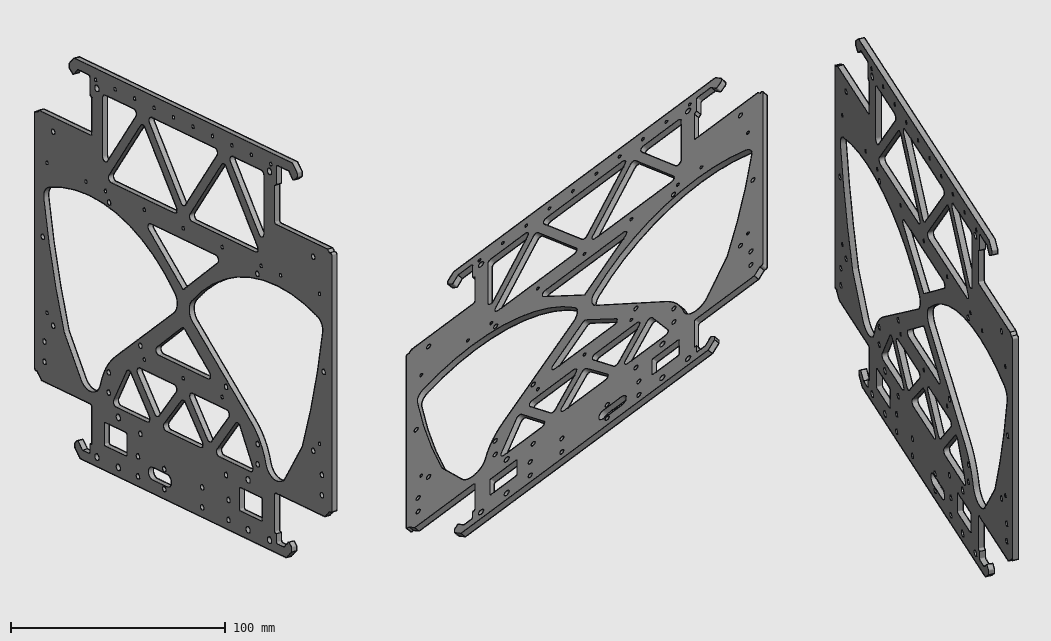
import cadquery as cq
import math

thickness = 3.0
half_width = 114.6
half_height = 99.5

neck_x = 70.5
pad_x = 72.0
wing_top = 64.9
wing_bottom = -69.7
top_wing_step = 1.4
bottom_wing_step = 3.6
wing_tip_flat = 1.9
wing_fillet = 1.0
hook_fillet = 1.0
small_fillet = 0.8

upper_truss_top = 88.4
upper_truss_bottom = 46.1
upper_triangle_height = 37.8
upper_triangle_slope = 4 / 3
upper_window_side = 62.1
upper_rib_width = 6.25
upper_triangle_overlap = 2 * upper_triangle_height - (upper_truss_top - upper_truss_bottom)
upper_triangle_pitch = upper_triangle_overlap / upper_triangle_slope + upper_rib_width

brace_slope = 0.817
brace_upper_top = 35.0
brace_upper_apex = 9.9
brace_lower_apex = -8.7
brace_lower_bottom = -28.8

lower_truss_top = -39.8
lower_truss_bottom = -65.0
lower_truss_slope = 1.18
lower_inverted_slope = 1.22
lower_center_apex = -44.4
lower_inverted_apex = -61.1
lower_inverted_x = 20.25
lower_outer_inner_x = 23.5
lower_outer_outer_x = 55.2
lower_outer_apex = (42.2, -42.1)

window_fillet = 2.0

opening_arc_center = (72.0, -55.6)
opening_arc_radius = 90.0
opening_inner_x = 1.6
opening_outer_x = 108.1
opening_inner_fillet = 7.0
opening_outer_fillet = 6.0

rect_center = (52.1, -81.25)
rect_size = (17.4, 11.7)
rect_fillet = 0.8

slot_center = (-18.0, -89.55)
slot_length = 17.6
slot_width = 6.3

pin_pitch = 15.0
pin_hole = 1.7
screw_hole = 2.6
clearance_hole = 3.2


def prism(outline):
    """Extrude an XZ outline symmetrically through the plate thickness."""
    return outline.close().extrude(thickness / 2, both=True)


def sketch():
    """Empty workplane with X to the right and Z up."""
    return cq.Workplane("XZ")


def mirrored(solid):
    """The solid together with its mirror image about X = 0."""
    return solid.union(solid.mirror("YZ"))


def window(points):
    """Cutter with straight sides and rounded corners."""
    return prism(sketch().polyline(points)).edges("|Y").fillet(window_fillet)


def triangle(center_x, base_z, apex_z, slope):
    """Corners of an isosceles triangle with a horizontal base."""
    half_base = abs(apex_z - base_z) / slope
    return [(center_x - half_base, base_z), (center_x + half_base, base_z), (center_x, apex_z)]


def fillet_corner(solid, corner, radius):
    """Round the through-thickness edge standing at an XZ corner."""
    x, z = corner
    return solid.edges("|Y").edges(cq.NearestToPointSelector((x, 0, z))).fillet(radius)


def make_plate():
    top_bend = (84.2, half_height)
    top_hook_outer = (87.9, 95.7)
    top_hook_side = (87.9, 93.3)
    top_hook_tip = (84.7, 90.9)
    top_hook_root = (pad_x, 94.6)
    top_neck = (neck_x, wing_top)
    top_wing = (half_width, wing_top - top_wing_step)
    bottom_wing = (half_width, wing_bottom + bottom_wing_step)
    bottom_neck = (neck_x, wing_bottom)
    bottom_pad = (neck_x, -89.8)
    bottom_hook_root = (pad_x, -94.7)
    bottom_hook_tip = (81.3, -90.8)
    bottom_hook_side = (83.6, -92.9)

    step_x = half_width - wing_tip_flat
    half_outline = [
        (0, half_height),
        top_bend,
        top_hook_outer,
        top_hook_side,
        top_hook_tip,
        (81.3, 94.6),
        top_hook_root,
        (pad_x, 85.0),
        (neck_x, 84.0),
        top_neck,
        (step_x - top_wing_step, wing_top),
        (step_x, wing_top - top_wing_step),
        top_wing,
        bottom_wing,
        (step_x, wing_bottom + bottom_wing_step),
        (step_x - bottom_wing_step, wing_bottom),
        bottom_neck,
        bottom_pad,
        (pad_x, bottom_pad[1]),
        bottom_hook_root,
        (77.6, bottom_hook_root[1]),
        bottom_hook_tip,
        bottom_hook_side,
        (83.6, -95.3),
        (79.4, -half_height),
        (0, -half_height),
    ]
    half = prism(sketch().polyline(half_outline))
    for corner in (top_bend, top_hook_outer, top_hook_side, bottom_hook_side):
        half = fillet_corner(half, corner, hook_fillet)
    for corner in (top_neck, top_wing, bottom_wing, bottom_neck):
        half = fillet_corner(half, corner, wing_fillet)
    for corner in (top_hook_tip, top_hook_root, bottom_pad, bottom_hook_root, bottom_hook_tip):
        half = fillet_corner(half, corner, small_fillet)
    return mirrored(half)


def upper_truss():
    """Centre, inclined and corner windows above the wings."""
    base_z = upper_truss_bottom
    center_apex = upper_truss_top - upper_triangle_height
    side_apex = base_z + upper_triangle_height
    center = window(triangle(0, upper_truss_top, center_apex, upper_triangle_slope))
    side = window(triangle(upper_triangle_pitch, base_z, side_apex, upper_triangle_slope))
    side_foot = upper_triangle_pitch + upper_triangle_height / upper_triangle_slope + upper_rib_width
    top_x = side_foot - (upper_truss_top - base_z) / upper_triangle_slope
    side_z = base_z + (side_foot - upper_window_side) * upper_triangle_slope
    corner = window([
        (top_x, upper_truss_top),
        (upper_window_side, upper_truss_top),
        (upper_window_side, side_z),
    ])
    return center.union(mirrored(side)).union(mirrored(corner))


def braces():
    """Windows above and below the crossing; the upper one keeps a sharp lower apex."""
    upper = prism(sketch().polyline(triangle(0, brace_upper_top, brace_upper_apex, brace_slope)))
    upper = upper.edges("|Y and >Z").fillet(window_fillet)
    lower = window(triangle(0, brace_lower_bottom, brace_lower_apex, brace_slope))
    return upper.union(lower)


def lower_truss():
    """Row of five windows below the crossing."""
    center = window(triangle(0, lower_truss_bottom, lower_center_apex, lower_truss_slope))
    inverted = window(triangle(lower_inverted_x, lower_truss_top, lower_inverted_apex, lower_inverted_slope))
    outer = window([
        (lower_outer_inner_x, lower_truss_bottom),
        (lower_outer_outer_x, lower_truss_bottom),
        lower_outer_apex,
    ])
    return center.union(mirrored(inverted)).union(mirrored(outer))


def arc_z(x):
    """Height of the opening's upper arc at x."""
    dx = x - opening_arc_center[0]
    return opening_arc_center[1] + math.sqrt(opening_arc_radius ** 2 - dx ** 2)


def side_openings():
    """Pair of large openings between the crossing braces and the wing edges."""
    inner = (opening_inner_x, arc_z(opening_inner_x))
    outer = (opening_outer_x, arc_z(opening_outer_x))
    crown = (opening_arc_center[0], opening_arc_center[1] + opening_arc_radius)
    wing_edge_middle = (101.1, -8.5)
    wing_edge_end = (91.7, -40.0)
    pocket_outer = (78.9, -59.4)
    pocket_bottom = (71.8, -63.4)
    pocket_inner = (63.8, -57.5)
    brace_bend_middle = (59.5, -47.9)
    brace_bend_end = (52.0, -39.7)
    outline = (
        sketch().moveTo(*inner)
        .threePointArc(crown, outer)
        .threePointArc(wing_edge_middle, wing_edge_end)
        .lineTo(*pocket_outer)
        .threePointArc(pocket_bottom, pocket_inner)
        .threePointArc(brace_bend_middle, brace_bend_end)
    )
    opening = prism(outline)
    opening = fillet_corner(opening, inner, opening_inner_fillet)
    opening = fillet_corner(opening, outer, opening_outer_fillet)
    return mirrored(opening)


def rectangular_windows():
    cutter = sketch().center(*rect_center).rect(*rect_size).extrude(thickness, both=True)
    return mirrored(cutter.edges("|Y").fillet(rect_fillet))


def slot():
    return sketch().center(*slot_center).slot2D(slot_length, slot_width).extrude(thickness, both=True)


def holes(points, diameter):
    """Through holes at the given XZ points and at their mirror images."""
    cutter = sketch().pushPoints(points).circle(diameter / 2).extrude(thickness, both=True)
    return mirrored(cutter)


def pin_holes():
    top_row = [(pin_pitch * (i + 0.5), 93.75) for i in range(5)]
    middle_row = [(i * pin_pitch, 40.5) for i in (0, 2, 4, 5, 7)]
    lower_row = [(i * pin_pitch, -34.5) for i in (0, 2, 7)]
    return holes(top_row + middle_row + lower_row, pin_hole)


def screw_holes():
    wing = [(100.2, 57.6), (108.2, 2.5), (100.2, -39.5)]
    bracket = [(x, z) for x in (57.4, 106.9) for z in (-49.5, -59.6)]
    brace = [(57.1, 35.6), (33.0, -28.5), (33.0, -72.6)]
    base = [(x, z) for x in (14.6, 34.9) for z in (-84.5, -94.5)]
    return holes(wing + bracket + brace + base, screw_hole)


def clearance_holes():
    return holes([(66.5, 89.8), (66.5, -94.7), (50.0, -69.7), (50.0, -94.7)], clearance_hole)


result = make_plate()
cutters = (
    upper_truss, braces, lower_truss, side_openings, rectangular_windows,
    slot, pin_holes, screw_holes, clearance_holes,
)
for make_cutter in cutters:
    result = result.cut(make_cutter())